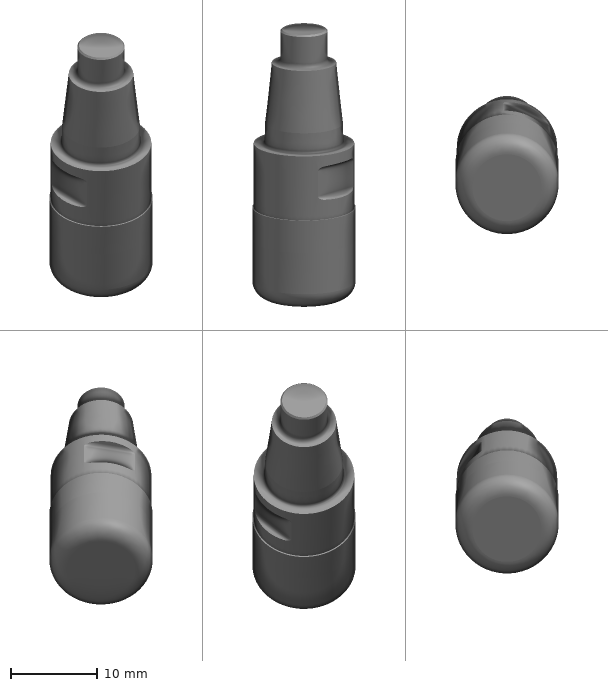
import cadquery as cq
import math

total_height = 32.3
cap_height = 6.98
collar_top = 10.85
barrel_top = 18.57
taper_bottom = 21.0
taper_top = 28.3

cap_radius = 12.0 / 2
barrel_radius = 11.7 / 2
neck_bottom_radius = 4.6
taper_bottom_radius = 4.52
taper_top_radius = 3.75
tip_radius = 5.5 / 2

cap_round = 2.0
neck_fillet = 0.3
tip_fillet = 0.55
tip_chamfer = 0.2

flat_distance = 5.0
flat_bottom = 13.7
flat_top = 16.73
flat_fillet = 0.52
flat_wall_slope = math.radians(10)


def make_cap():
    """Closed lower cap with a rounded bottom rim."""
    return cq.Workplane("XY").circle(cap_radius).extrude(cap_height).faces("<Z").edges().fillet(cap_round)


def make_turned_shank():
    """Collar, barrel, neck, taper and tip revolved about Z."""
    quarter_arc = 0.5 ** 0.5

    def fillet_midpoint(radius, height, size):
        """Middle of a concave fillet between a stage of this radius and the shoulder at this height."""
        offset = size * (1 - quarter_arc)
        return (radius + offset, height + offset)

    profile = (
        cq.Workplane("XZ")
        .moveTo(0, cap_height)
        .lineTo(cap_radius, cap_height)
        .lineTo(cap_radius, collar_top)
        .lineTo(barrel_radius, collar_top)
        .lineTo(barrel_radius, barrel_top)
        .lineTo(neck_bottom_radius + neck_fillet, barrel_top)
        .threePointArc(
            fillet_midpoint(neck_bottom_radius, barrel_top, neck_fillet),
            (neck_bottom_radius, barrel_top + neck_fillet),
        )
        .lineTo(taper_bottom_radius, taper_bottom)
        .lineTo(taper_top_radius, taper_top)
        .lineTo(tip_radius + tip_fillet, taper_top)
        .threePointArc(
            fillet_midpoint(tip_radius, taper_top, tip_fillet),
            (tip_radius, taper_top + tip_fillet),
        )
        .lineTo(tip_radius, total_height - tip_chamfer)
        .lineTo(tip_radius - tip_chamfer, total_height)
        .lineTo(0, total_height)
        .close()
    )
    return profile.revolve(360, (0, 0, 0), (0, 1, 0))


def make_flat_cutter(side):
    """Prism along X that cuts one wrench flat; side is +1 or -1 along Y."""
    def fillet_point(angle):
        """Outward depth and rise on the fillet after turning by this angle from the flat."""
        return (flat_fillet * (1 - math.cos(angle)), flat_fillet * math.sin(angle))

    fillet_turn = math.pi / 2 - flat_wall_slope
    mid_depth, mid_rise = fillet_point(fillet_turn / 2)
    wall_depth, wall_rise = fillet_point(fillet_turn)
    outer_depth = cap_radius - flat_distance
    outer_rise = wall_rise + (outer_depth - wall_depth) * math.tan(flat_wall_slope)

    def above(depth, rise):
        return (side * (flat_distance + depth), flat_top + rise)

    def below(depth, rise):
        return (side * (flat_distance + depth), flat_bottom - rise)

    return (
        cq.Workplane("YZ")
        .moveTo(*below(0, 0))
        .lineTo(*above(0, 0))
        .threePointArc(above(mid_depth, mid_rise), above(wall_depth, wall_rise))
        .lineTo(*above(outer_depth, outer_rise))
        .lineTo(*below(outer_depth, outer_rise))
        .lineTo(*below(wall_depth, wall_rise))
        .threePointArc(below(mid_depth, mid_rise), below(0, 0))
        .close()
        .extrude(cap_radius, both=True)
    )


def make_shank():
    """Turned shank with a wrench flat on each Y side."""
    shank = make_turned_shank()
    for side in (-1, 1):
        shank = shank.cut(make_flat_cutter(side))
    return shank


cap = make_cap()
shank = make_shank()
result = cq.Compound.makeCompound([cap.val(), shank.val()])